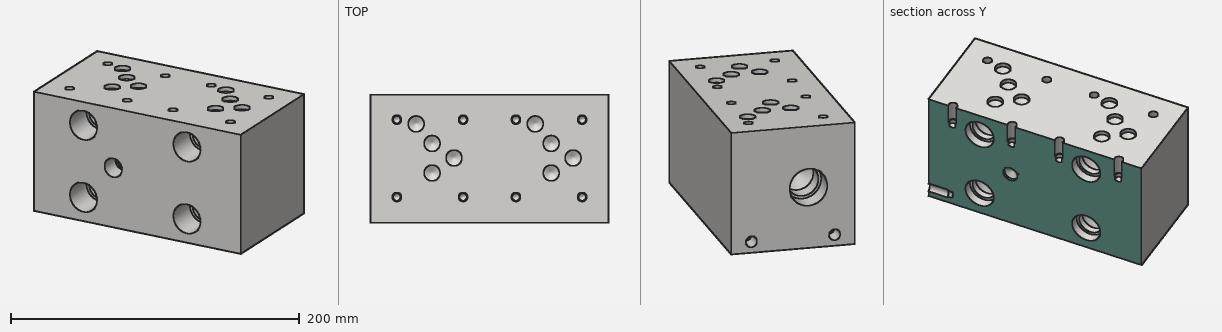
import cadquery as cq
import math

LENGTH = 165.1
SIDE = 88.8

MID_HEIGHT = SIDE / 2

DRILL_POINT_ANGLE = 118.0

INTO_FRONT = (0, 1, 0)
INTO_LEFT_END = (1, 0, 0)
INTO_TOP = (0, 0, -1)

STATION_PITCH = LENGTH / 2
STATION_STARTS = (0.0, STATION_PITCH)

WORK_PORT_X = 39.6
WORK_PORT_HEIGHTS = (17.8, 71.5)
WORK_PORT_BORE, WORK_PORT_BORE_DEPTH = 21.6, 23.1
WORK_PORT_DRILL, WORK_PORT_DRILL_DEPTH = 17.5, 28.0

GAUGE_X = 63.4
GAUGE_BORE, GAUGE_BORE_DEPTH = 13.9, 14.9
GAUGE_DRILL, GAUGE_DRILL_DEPTH = 10.7, 18.2

PRESSURE_Y = 33.4
PRESSURE_BORE, PRESSURE_BORE_DEPTH = 26.9, 16.2
PRESSURE_DRILL, PRESSURE_DRILL_DEPTH = 23.0, 29.7

END_HOLE_INSET = 14.5
END_HOLE_HEIGHT = 8.1
END_HOLE_BORE, END_HOLE_BORE_DEPTH = 8.0, 14.9
END_HOLE_DRILL, END_HOLE_DRILL_DEPTH = 6.6, 18.2

VALVE_PORT_DIAMETER = 11.0
VALVE_PORT_DEPTH = 3.1
VALVE_PORTS = ((31.7, 68.5), (42.8, 55.0), (58.0, 44.9), (42.8, 34.5))

MOUNT_BORE, MOUNT_BORE_DEPTH = 6.3, 14.9
MOUNT_DRILL, MOUNT_DRILL_DEPTH = 5.1, 18.2
MOUNT_X = (18.3, 64.2)
MOUNT_Y = (17.8, 71.5)


def drilled_hole(entry, direction, diameter, depth):
    """Cutter for a blind hole: full diameter to the depth, then a conical drill point."""
    radius = diameter / 2
    point_length = radius / math.tan(math.radians(DRILL_POINT_ANGLE / 2))
    start = cq.Vector(*entry)
    axis = cq.Vector(*direction)
    barrel = cq.Solid.makeCylinder(radius, depth, start, axis)
    point = cq.Solid.makeCone(radius, 0, point_length, start + axis * depth, axis)
    return barrel.fuse(point)


def stepped_hole(entry, direction, bore, bore_depth, drill, drill_depth):
    """Cutter for a drilled hole whose mouth is widened by a flat-bottomed bore."""
    mouth = cq.Solid.makeCylinder(bore / 2, bore_depth, cq.Vector(*entry), cq.Vector(*direction))
    return drilled_hole(entry, direction, drill, drill_depth).fuse(mouth)


def station_cutters(start):
    """All the holes of one valve station that begins at x = start."""
    cutters = []
    for height in WORK_PORT_HEIGHTS:
        cutters.append(
            stepped_hole(
                (start + WORK_PORT_X, 0, height), INTO_FRONT,
                WORK_PORT_BORE, WORK_PORT_BORE_DEPTH, WORK_PORT_DRILL, WORK_PORT_DRILL_DEPTH,
            )
        )
    for x, y in VALVE_PORTS:
        cutters.append(
            drilled_hole((start + x, y, SIDE), INTO_TOP, VALVE_PORT_DIAMETER, VALVE_PORT_DEPTH)
        )
    for x in MOUNT_X:
        for y in MOUNT_Y:
            cutters.append(
                stepped_hole(
                    (start + x, y, SIDE), INTO_TOP,
                    MOUNT_BORE, MOUNT_BORE_DEPTH, MOUNT_DRILL, MOUNT_DRILL_DEPTH,
                )
            )
    return cutters


def gauge_port():
    """Cutter for the gauge port."""
    return stepped_hole(
        (GAUGE_X, 0, MID_HEIGHT), INTO_FRONT,
        GAUGE_BORE, GAUGE_BORE_DEPTH, GAUGE_DRILL, GAUGE_DRILL_DEPTH,
    )


def pressure_port():
    """Cutter for the pressure port."""
    return stepped_hole(
        (0, PRESSURE_Y, MID_HEIGHT), INTO_LEFT_END,
        PRESSURE_BORE, PRESSURE_BORE_DEPTH, PRESSURE_DRILL, PRESSURE_DRILL_DEPTH,
    )


def end_holes():
    """Cutters for the pair of end holes, mirrored across the width."""
    return [
        stepped_hole(
            (0, y, END_HOLE_HEIGHT), INTO_LEFT_END,
            END_HOLE_BORE, END_HOLE_BORE_DEPTH, END_HOLE_DRILL, END_HOLE_DRILL_DEPTH,
        )
        for y in (END_HOLE_INSET, SIDE - END_HOLE_INSET)
    ]


cutters = [gauge_port(), pressure_port(), *end_holes()]
for station_start in STATION_STARTS:
    cutters.extend(station_cutters(station_start))

result = cq.Workplane("XY").box(LENGTH, SIDE, SIDE, centered=False)
for cutter in cutters:
    result = result.cut(cutter)